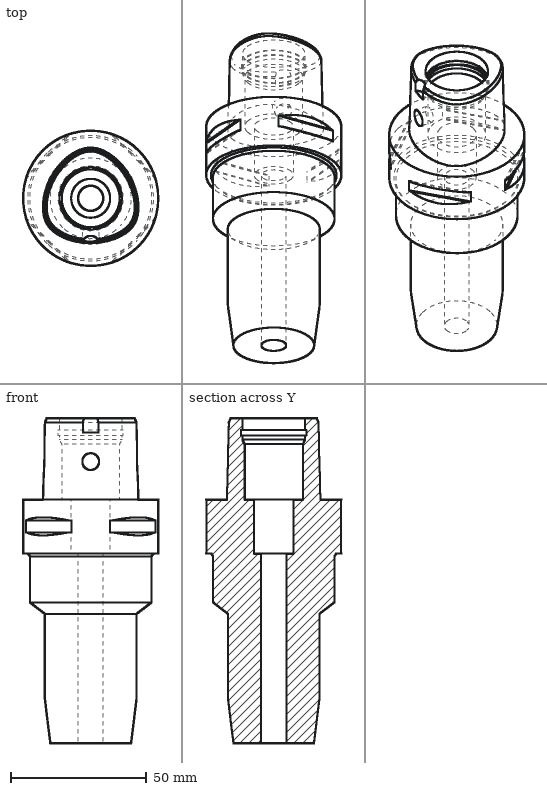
import cadquery as cq
import math

total_height = 120.0
flange_top_z = 90.0
flange_bottom_z = 70.0
collar_top_z = 69.0
collar_bottom_z = 52.0
shank_top_z = 47.8
nose_top_z = 16.6

flange_radius = 25.0
neck_radius = 23.2
collar_radius = 22.5
shank_radius = 17.0
nose_end_radius = 14.95

lobe_radius = 17.65
lobe_eccentricity = 1.07
taper_per_side = 1 / 40
rim_chamfer_height = 1.5
rim_chamfer_inset = 0.7
section_points = 72

entry_radius = 11.5
entry_depth = 7.9
groove_radius = 12.0
groove_top_depth = 4.4
groove_bottom_depth = 6.3
main_bore_radius = 10.7
bore_cone_depth = 9.6
main_bore_depth = 30.0
counterbore_radius = 7.2
counterbore_depth = 50.0
through_radius = 4.6

notch_radius = 3.15
notch_center_y = -17.0
notch_depth = 5.3
side_hole_radius = 3.1
side_hole_z = 104.0
side_hole_floor_y = -11.5

slot_count = 4
slot_first_angle = 45.0
slot_z = 80.1
slot_floor_distance = 22.0
slot_chamfer_distance = 22.5
slot_floor_half_height = 2.2
slot_mouth_half_height = 3.35


def revolve_profile(points):
    """Turn a closed outline of (radius, z) points about Z."""
    return cq.Workplane("XZ").polyline(points).close().revolve(360, (0, 0, 0), (0, 1, 0))


def polygon_wire(radius, z):
    """Closed three-lobed section with one lobe pointing to +Y."""
    points = []
    for i in range(section_points):
        angle = -math.pi / 2 + 2 * math.pi * i / section_points
        phase = 3 * (angle - math.pi / 2)
        reach = radius + lobe_eccentricity * math.cos(phase)
        reach_slope = -3 * lobe_eccentricity * math.sin(phase)
        x = reach * math.cos(angle) - reach_slope * math.sin(angle)
        y = reach * math.sin(angle) + reach_slope * math.cos(angle)
        points.append(cq.Vector(x, y, z))
    return cq.Wire.assembleEdges([cq.Edge.makeSpline(points, periodic=True)])


def make_body():
    return revolve_profile(
        [
            (0, 0),
            (nose_end_radius, 0),
            (shank_radius, nose_top_z),
            (shank_radius, shank_top_z),
            (collar_radius, collar_bottom_z),
            (collar_radius, collar_top_z),
            (neck_radius, flange_bottom_z),
            (flange_radius, flange_bottom_z),
            (flange_radius, flange_top_z),
            (0, flange_top_z),
        ]
    )


def make_polygon_shank():
    chamfer_z = total_height - rim_chamfer_height
    chamfer_radius = lobe_radius - taper_per_side * (chamfer_z - flange_top_z)
    base = polygon_wire(lobe_radius, flange_top_z)
    chamfer_start = polygon_wire(chamfer_radius, chamfer_z)
    rim = polygon_wire(chamfer_radius - rim_chamfer_inset, total_height)
    taper = cq.Solid.makeLoft([base, chamfer_start], True)
    chamfer = cq.Solid.makeLoft([chamfer_start, rim], True)
    return cq.Workplane(obj=taper).union(cq.Workplane(obj=chamfer))


def make_bore():
    steps = [
        (0, 0),
        (entry_radius, 0),
        (entry_radius, groove_top_depth),
        (groove_radius, groove_top_depth),
        (groove_radius, groove_bottom_depth),
        (entry_radius, groove_bottom_depth),
        (entry_radius, entry_depth),
        (main_bore_radius, bore_cone_depth),
        (main_bore_radius, main_bore_depth),
        (counterbore_radius, main_bore_depth),
        (counterbore_radius, counterbore_depth),
        (through_radius, counterbore_depth),
        (through_radius, total_height),
        (0, total_height),
    ]
    return revolve_profile([(r, total_height - depth) for r, depth in steps])


def make_notch():
    return (
        cq.Workplane("XY", origin=(0, notch_center_y, total_height - notch_depth))
        .circle(notch_radius)
        .extrude(notch_depth)
    )


def make_side_hole():
    return (
        cq.Workplane("XZ", origin=(0, side_hole_floor_y, side_hole_z))
        .circle(side_hole_radius)
        .extrude(flange_radius + side_hole_floor_y)
    )


def make_slot(angle):
    """Straight slot with flared mouth, cut across the flange rim."""
    upper = [
        (slot_floor_distance, slot_floor_half_height),
        (slot_chamfer_distance, slot_floor_half_height),
        (flange_radius, slot_mouth_half_height),
    ]
    lower = [(distance, -height) for distance, height in reversed(upper)]
    slot = (
        cq.Workplane("XZ", origin=(0, 0, slot_z))
        .polyline(upper + lower)
        .close()
        .extrude(flange_radius, both=True)
    )
    return slot.rotate((0, 0, 0), (0, 0, 1), angle)


result = make_body().union(make_polygon_shank())
result = result.cut(make_bore()).cut(make_notch()).cut(make_side_hole())
for index in range(slot_count):
    result = result.cut(make_slot(slot_first_angle + index * 360 / slot_count))